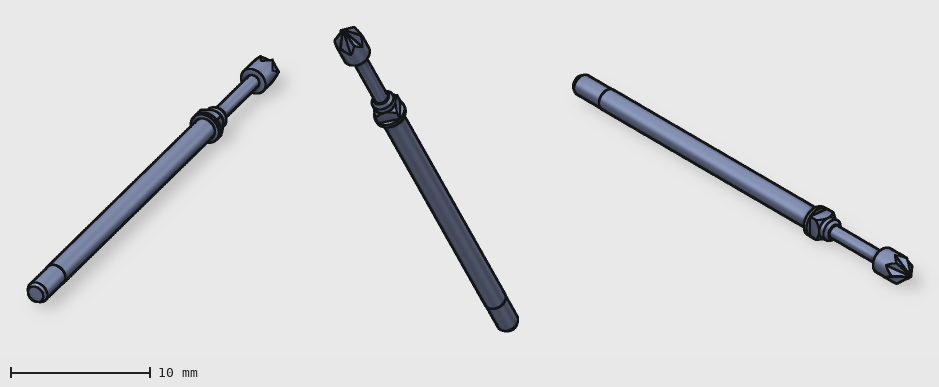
import cadquery as cq
import math


head_diameter = 2.0
ridge_angle = 45.0
ridge_count = 6
head_length = 3.0

shaft_diameter = 1.0

nose_station = 8.25
nose_tip_diameter = 1.2
nose_chamfer_length = 0.3

square_station = 9.0
square_chamfer_angle = 45.0

flange_station = 10.0
flange_diameter = 2.3
flange_thickness = 0.3

barrel_diameter = 1.65
square_width = barrel_diameter
tail_length = 3.0
tail_diameter = 1.6
tail_chamfer_length = 0.3
tail_chamfer_angle = 30.0
total_length = 35.8

tip_y = total_length / 2


def rod(station, length, diameter):
    """Cylinder running back from a station."""
    return cq.Workplane("XZ", origin=(0, tip_y - station, 0)).circle(diameter / 2).extrude(length)


def cone_frustum(station, length, front_diameter, back_diameter):
    """Cone frustum running back from a station."""
    frustum = cq.Solid.makeCone(
        front_diameter / 2,
        back_diameter / 2,
        length,
        cq.Vector(0, tip_y - station, 0),
        cq.Vector(0, -1, 0),
    )
    return cq.Workplane(obj=frustum)


def triangular_pyramid(first_angle):
    """Pyramid with its apex at the tip and half of the head's ridges."""
    corner_radius = head_length * math.tan(math.radians(ridge_angle))
    base_y = tip_y - head_length
    apex = cq.Vector(0, tip_y, 0)
    corner_count = ridge_count // 2
    base = []
    for corner in range(corner_count):
        angle = math.radians(first_angle + corner * 360 / corner_count)
        base.append(cq.Vector(corner_radius * math.cos(angle), base_y, corner_radius * math.sin(angle)))
    triangles = [base]
    for corner in range(corner_count):
        triangles.append([apex, base[corner], base[corner - 1]])
    faces = [cq.Face.makeFromWires(cq.Wire.makePolygon(points, close=True)) for points in triangles]
    return cq.Workplane(obj=cq.Solid.makeSolid(cq.Shell.makeShell(faces)))


def fluted_head():
    """Cylinder pointed by two interlocked pyramids, giving six ridges and six V flutes."""
    star = triangular_pyramid(0).union(triangular_pyramid(360 / ridge_count))
    return star.intersect(rod(0, head_length, head_diameter))


def nose():
    """Chamfer widening to barrel size, then a short cylinder up to the square."""
    chamfer = cone_frustum(nose_station, nose_chamfer_length, nose_tip_diameter, barrel_diameter)
    ring_station = nose_station + nose_chamfer_length
    return chamfer.union(rod(ring_station, square_station - ring_station, barrel_diameter))


def drive_square():
    """Square prism trimmed by a cone that starts at its inscribed circle."""
    length = flange_station - square_station
    square = (
        cq.Workplane("XZ", origin=(0, tip_y - square_station, 0))
        .rect(square_width, square_width)
        .extrude(length)
    )
    back_diameter = square_width + 2 * length * math.tan(math.radians(square_chamfer_angle))
    return square.intersect(cone_frustum(square_station, length, square_width, back_diameter))


def barrel():
    """Barrel behind the flange, ending in a slightly thinner chamfered tail."""
    tail_station = total_length - tail_length
    chamfer_station = total_length - tail_chamfer_length
    end_diameter = tail_diameter - 2 * tail_chamfer_length * math.tan(math.radians(tail_chamfer_angle))
    body = rod(flange_station, tail_station - flange_station, barrel_diameter)
    tail = rod(tail_station, chamfer_station - tail_station, tail_diameter)
    chamfer = cone_frustum(chamfer_station, tail_chamfer_length, tail_diameter, end_diameter)
    return body.union(tail).union(chamfer)


shaft = rod(head_length, nose_station - head_length, shaft_diameter)
flange = rod(flange_station, flange_thickness, flange_diameter)

result = fluted_head().union(shaft).union(nose()).union(drive_square()).union(flange).union(barrel())